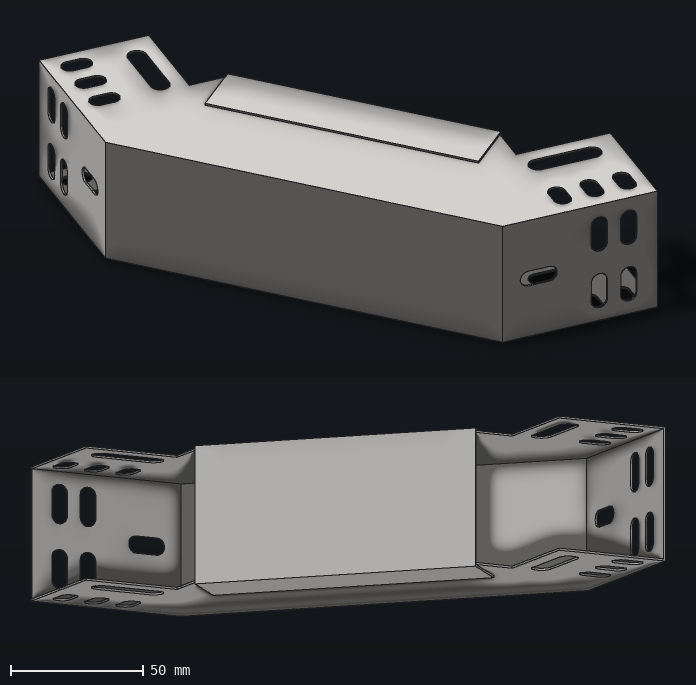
import cadquery as cq
import math

sheet = 0.8
total_length = 251.5
total_depth = 77.0
total_height = 53.3
front_length = 161.5
leg_flange_edge = 38.7
leg_angle = 45.0

bracket_length = 111.2
bracket_rear = 61.4
bracket_flange_depth = 23.0

channel_height = total_height - 2 * sheet
channel_rear = bracket_rear - sheet
turn_cos = math.cos(math.radians(leg_angle))
turn_sin = math.sin(math.radians(leg_angle))
bend_x = front_length / 2
leg_length = (total_length - front_length) / 2 / turn_cos
leg_width = (total_depth - leg_length * turn_sin) / turn_cos

short_slot_length = 12.3
short_slot_width = 6.8
short_slot_inward = 11.8
short_slot_count = 3
short_slot_first_along = 8.5
short_slot_pitch = 13.3
long_slot_length = 29.7
long_slot_width = 7.5
long_slot_along = 23.0
long_slot_inward = 35.2
wall_slot_length = 15.0
wall_slot_width = 6.5
upright_slot_alongs = [11.8, 24.0]
upright_slot_rise = 12.5
level_slot_along = 48.8


def leg_point(along, inward):
    """X and Y of a point on the left leg."""
    from_bend = leg_length - along
    x = -bend_x - from_bend * turn_cos + inward * turn_sin
    y = from_bend * turn_sin + inward * turn_cos
    return x, y


def extrude_symmetric(left_points, height):
    """Prism centred on Z = 0 whose outline is the left half's points and their mirror images."""
    right_points = [(-x, y) for x, y in reversed(left_points)]
    outline = cq.Workplane("XY").polyline(left_points + right_points).close()
    return outline.extrude(height / 2, both=True)


def make_leg_slots():
    """Cutters for all slots of the left leg."""
    tip = (*leg_point(0, 0), 0)
    along_axis = (turn_cos, -turn_sin, 0)
    outward_axis = (-turn_sin, -turn_cos, 0)

    flange_plane = cq.Workplane(cq.Plane(tip, along_axis, (0, 0, 1)))
    short_centers = [
        (short_slot_first_along + i * short_slot_pitch, short_slot_inward)
        for i in range(short_slot_count)
    ]
    short_slots = (
        flange_plane.pushPoints(short_centers)
        .slot2D(short_slot_length, short_slot_width, 90)
        .extrude(channel_height, both=True)
    )
    long_slot = (
        flange_plane.center(long_slot_along, long_slot_inward)
        .slot2D(long_slot_length, long_slot_width)
        .extrude(channel_height, both=True)
    )

    wall_plane = cq.Workplane(cq.Plane(tip, along_axis, outward_axis))
    upright_centers = [
        (along, rise)
        for along in upright_slot_alongs
        for rise in (-upright_slot_rise, upright_slot_rise)
    ]
    upright_slots = (
        wall_plane.pushPoints(upright_centers)
        .slot2D(wall_slot_length, wall_slot_width, 90)
        .extrude(2 * sheet, both=True)
    )
    level_slot = (
        wall_plane.center(level_slot_along, 0)
        .slot2D(wall_slot_length, wall_slot_width)
        .extrude(2 * sheet, both=True)
    )
    return short_slots.add(long_slot).add(upright_slots).add(level_slot).combine()


def make_channel():
    """Bent channel: a front wall with two angled legs, open at the rear and at the leg ends."""
    notch_x, notch_y = leg_point(leg_flange_edge, leg_width)
    rear_corner_x = notch_x + (channel_rear - notch_y) * turn_cos / turn_sin
    channel = extrude_symmetric(
        [
            (-bend_x, 0),
            leg_point(0, 0),
            leg_point(0, leg_width),
            (notch_x, notch_y),
            (rear_corner_x, channel_rear),
        ],
        channel_height,
    )

    inner_bend_x = bend_x - sheet * math.tan(math.radians(leg_angle / 2))
    inside = extrude_symmetric(
        [(-inner_bend_x, sheet), leg_point(0, sheet), leg_point(0, leg_width)],
        channel_height - 2 * sheet,
    )

    left_slots = make_leg_slots()
    right_slots = left_slots.mirror("YZ")
    return channel.cut(inside).cut(left_slots).cut(right_slots)


def make_bracket():
    """U-shaped bracket that closes the rear of the channel and clasps its flanges from outside."""
    block = cq.Workplane("XY").box(bracket_length, bracket_flange_depth, total_height)
    opening = (
        cq.Workplane("XY")
        .box(bracket_length, bracket_flange_depth, channel_height)
        .translate((0, -sheet, 0))
    )
    return block.cut(opening).translate((0, bracket_rear - bracket_flange_depth / 2, 0))


channel = make_channel()
bracket = make_bracket()

result = cq.Compound.makeCompound([channel.solids().val(), bracket.solids().val()])